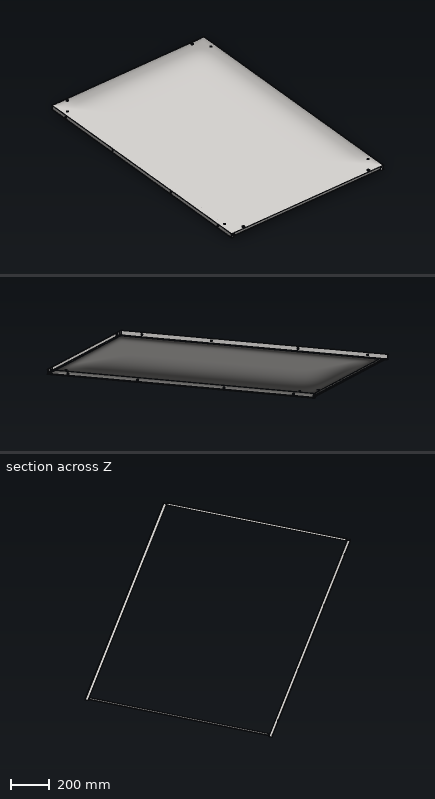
import cadquery as cq

length = 1485.0
width = 1000.0
height = 27.0
sheet = 1.8

side_wall_setback = 3.0
side_lip = 18.0

end_inset = 21.0
end_clearance = 6.7
end_lip = 15.0

top_hole_diameter = 9.0
top_hole_x = 649.0
top_hole_y = 471.0
end_hole_diameter = 13.0
end_hole_x = 728.0
end_hole_y = 410.0
side_hole_diameter = 9.0
side_hole_places = (240.0, 627.0)

slot_length = 27.0
slot_height = 12.0
slot_y = 441.0
slot_depth = 9.0

SIDES = (-1, 1)


def plate(size_x, size_y, size_z, x, y, bottom):
    """A rectangular block centred on (x, y) that stands on the height `bottom`."""
    block = cq.Workplane("XY").box(size_x, size_y, size_z, centered=(True, True, False))
    return block.translate((x, y, bottom))


def side_fold(side):
    """The wall and bottom lip along one long side."""
    wall_length = length - 2 * side_wall_setback
    wall = plate(wall_length, sheet, height, 0, side * (width - sheet) / 2, 0)
    lip = plate(length, side_lip, sheet, 0, side * (width - side_lip) / 2, 0)
    return wall.union(lip)


def end_fold(side):
    """The shallower flange and lip along one short side."""
    fold_width = width - 2 * end_inset
    fold_height = height - end_clearance
    flange = plate(sheet, fold_width, fold_height, side * (length - sheet) / 2, 0, end_clearance)
    lip = plate(end_lip, fold_width, sheet, side * (length - end_lip) / 2, 0, end_clearance)
    return flange.union(lip)


def corner_holes(x, y, diameter):
    """Four holes through the top sheet, mirrored about both centre lines."""
    places = [(a * x, b * y) for a in SIDES for b in SIDES]
    top_sheet = cq.Workplane("XY").workplane(offset=height - sheet)
    return top_sheet.pushPoints(places).circle(diameter / 2).extrude(sheet)


def side_holes():
    """Holes at mid-height, through both long walls."""
    places = [(side * x, height / 2) for side in SIDES for x in side_hole_places]
    middle = cq.Workplane("XZ").pushPoints(places)
    return middle.circle(side_hole_diameter / 2).extrude(width / 2, both=True)


def end_slot(side):
    """One slot through the -X end flange."""
    slot_bottom = height - slot_depth - slot_height / 2
    return plate(sheet, slot_length, slot_height, -(length - sheet) / 2, side * slot_y, slot_bottom)


panel = plate(length, width, sheet, 0, 0, height - sheet)
for side in SIDES:
    panel = panel.union(side_fold(side)).union(end_fold(side))

panel = panel.cut(corner_holes(top_hole_x, top_hole_y, top_hole_diameter))
panel = panel.cut(corner_holes(end_hole_x, end_hole_y, end_hole_diameter))
panel = panel.cut(side_holes())
for side in SIDES:
    panel = panel.cut(end_slot(side))

result = panel